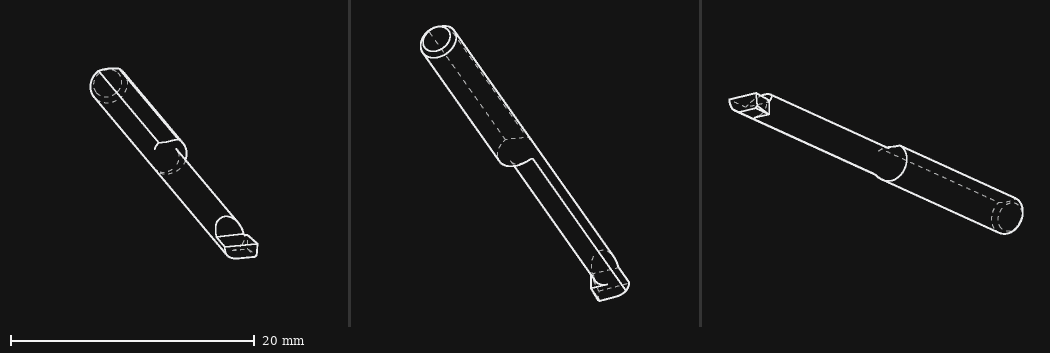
import cadquery as cq
import math

total_length = 38.1
shank_radius = 1.58
flat_height = 1.315
rear_chamfer = 0.4
shank_length = 17.03

neck_radius = 1.22
neck_offset = -0.45
shoulder_fillet = 0.57

ramp_end = 35.62
rake_height = 0.0

tooth_start = 35.93
tooth_root_y = 1.0
tooth_tip_y = 1.2
front_edge_setback = 0.1
front_relief_angle = 10.0


def rod(radius, length, y=0.0):
    return cq.Workplane("YZ").center(y, 0).circle(radius).extrude(length)


def make_shank():
    return rod(shank_radius, shank_length).faces("<X").chamfer(rear_chamfer)


def make_flat_cut():
    return (
        cq.Workplane("XY")
        .box(total_length, 2 * shank_radius, shank_radius, centered=(False, True, False))
        .translate((0, 0, flat_height))
    )


def make_shoulder():
    """Concave flare from the neck up to the shank end, kept inside the shank outline."""
    flare_radius = neck_radius + shoulder_fillet
    flare_end = shank_length + shoulder_fillet
    sag = shoulder_fillet * math.sqrt(0.5)
    flare = (
        cq.Workplane("XY")
        .moveTo(shank_length, 0)
        .lineTo(shank_length, flare_radius)
        .threePointArc((flare_end - sag, flare_radius - sag), (flare_end, neck_radius))
        .lineTo(flare_end, 0)
        .close()
        .revolve(360, (0, 0, 0), (1, 0, 0))
        .translate((0, neck_offset, 0))
    )
    return flare.intersect(rod(shank_radius, total_length))


def make_neck():
    neck_length = total_length - shank_length
    neck = rod(neck_radius, neck_length, neck_offset).translate((shank_length, 0, 0))
    return neck.intersect(rod(shank_radius, total_length))


def make_tooth():
    tooth = (
        cq.Workplane("XY")
        .workplane(offset=rake_height)
        .polyline([
            (tooth_start, neck_offset),
            (tooth_start, tooth_root_y),
            (total_length, tooth_tip_y),
            (total_length, neck_offset),
        ])
        .close()
        .extrude(-neck_radius)
    )
    return tooth.intersect(rod(shank_radius, total_length))


def make_rake_cut():
    top = shank_radius
    return (
        cq.Workplane("XZ")
        .moveTo(ramp_end, rake_height)
        .lineTo(ramp_end - (top - rake_height), top)
        .lineTo(total_length, top)
        .lineTo(total_length, rake_height)
        .close()
        .extrude(shank_radius, both=True)
    )


def make_front_cut():
    """Wedge beyond the end face, which slants along Y and leans back below the rake face."""
    slant = math.degrees(math.atan2(front_edge_setback, tooth_tip_y + shank_radius))
    size = 4 * shank_radius
    edge_end = (total_length, tooth_tip_y, rake_height)
    return (
        cq.Workplane("XY")
        .box(size, size, size, centered=(False, True, True))
        .rotate((0, 0, 0), (0, 1, 0), front_relief_angle)
        .rotate((0, 0, 0), (0, 0, 1), -slant)
        .translate(edge_end)
    )


result = make_shank().union(make_shoulder()).union(make_neck().union(make_tooth()))
result = result.cut(make_flat_cut()).cut(make_rake_cut()).cut(make_front_cut())